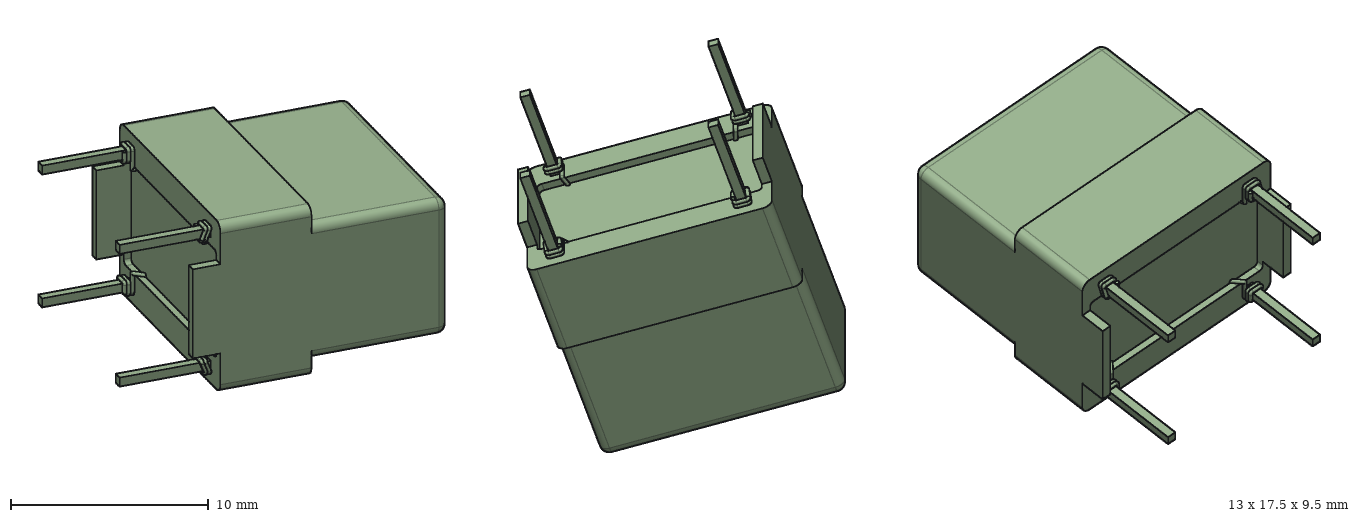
import cadquery as cq
import math

width = 13.0
total_length = 17.5
flange_height = 9.5
box_height = 7.6
pin_length = 5.0
flange_length = 5.0
edge_radius = 0.5

recess_width = 11.94
recess_height = 6.0
recess_depth = 0.4
recess_corner_radius = 0.25
tab_length = 1.5
tab_height = 5.0

pin_side = 0.5
pin_spacing_x = 10.0
pin_spacing_z = 7.45
wire_radius = 0.114
wrap_turns = 2
wrap_pitch = 0.21
pin_bite = 0.02
face_bite = 0.004
bend_inset = 0.07
wrap_slack = 0.04
upper_tail_reach = 0.2
lower_tail_reach = 0.52

back_y = total_length / 2
pin_tip_y = -total_length / 2
face_y = pin_tip_y + pin_length
floor_y = face_y + recess_depth
wire_offset = wire_radius - pin_bite


def block(size_x, size_z, y_front, y_back):
    """Box centred on the Y axis between two Y positions."""
    middle_y = (y_front + y_back) / 2
    return cq.Workplane("XY").box(size_x, y_back - y_front, size_z).translate((0, middle_y, 0))


def make_case():
    box = block(width, box_height, face_y, back_y).edges("|Y").fillet(edge_radius)
    box = box.faces(">Y").edges().fillet(edge_radius)
    flange = block(width, flange_height, face_y, face_y + flange_length)
    flange = flange.edges("|Y").fillet(edge_radius)
    recess = block(recess_width, recess_height, face_y, floor_y)
    recess = recess.edges("|Y").fillet(recess_corner_radius)
    tabs = block(width, tab_height, face_y - tab_length, floor_y)
    tabs = tabs.cut(block(recess_width, tab_height, face_y - tab_length, floor_y))
    return box.union(flange).cut(recess).union(tabs)


def straight_wire(start, end):
    start, end = cq.Vector(*start), cq.Vector(*end)
    run = end - start
    return cq.Workplane(cq.Solid.makeCylinder(wire_radius, run.Length, start, run))


def climbing_wire(start, end):
    """Oblique wire whose ends stay square to Z, so they match the bends they join."""
    start, end = cq.Vector(*start), cq.Vector(*end)
    rim = cq.Wire.makeCircle(wire_radius, start, cq.Vector(0, 0, 1))
    return cq.Workplane(cq.Solid.extrudeLinear(rim, [], end - start))


def wire_ball(center):
    return cq.Workplane("XY").sphere(wire_radius).translate(center)


def wire_elbow(corner_x, corner_z, y, start_angle):
    """Quarter bend of the wire around a corner of the pin."""
    half_chord = math.sqrt(wire_radius**2 - wire_offset**2)
    bend = (
        cq.Workplane("XY")
        .moveTo(0, -half_chord)
        .threePointArc((wire_offset + wire_radius, 0), (0, half_chord))
        .close()
        .revolve(90, (0, 0), (0, -1))
    )
    return bend.rotate((0, 0, 0), (0, -1, 0), start_angle).translate((corner_x, y, corner_z))


def make_terminal(tail_reach):
    """Pin with its wire for the +X, +Z corner; the recess lies towards -Z."""
    pin_x = pin_spacing_x / 2
    pin_z = pin_spacing_z / 2
    half_side = pin_side / 2
    terminal = block(pin_side, pin_side, pin_tip_y, floor_y).translate((pin_x, 0, pin_z))

    inner_x = pin_x - half_side - wrap_slack
    outer_x = pin_x + half_side
    low_z = pin_z - half_side
    high_z = pin_z + half_side
    inner_run_x = inner_x - wire_offset
    outer_run_x = outer_x + wire_offset
    low_run_z = low_z - wire_offset
    high_run_z = high_z + wire_offset
    first_y = face_y - (wire_radius - face_bite)

    for turn in range(wrap_turns):
        y = first_y - turn * wrap_pitch
        next_y = y - wrap_pitch
        climb_start = (outer_run_x, y, high_z)
        climb_end = (outer_run_x, next_y, low_z)
        pieces = [
            wire_elbow(inner_x, high_z, y, 90),
            straight_wire((inner_x, y, high_run_z), (outer_x, y, high_run_z)),
            wire_elbow(outer_x, high_z, y, 0),
            climbing_wire(climb_start, climb_end),
            wire_elbow(outer_x, low_z, next_y, 270),
            straight_wire((outer_x, next_y, low_run_z), (inner_x, next_y, low_run_z)),
            wire_elbow(inner_x, low_z, next_y, 180),
            straight_wire((inner_run_x, next_y, low_z), (inner_run_x, next_y, high_z)),
        ]
        for piece in pieces:
            terminal = terminal.union(piece)

    bend_point = (inner_run_x, first_y, recess_height / 2 - bend_inset)
    tail_end = (inner_run_x - tail_reach, floor_y + wire_radius, bend_point[2])
    lead = straight_wire((inner_run_x, first_y, high_z), bend_point)
    return terminal.union(lead).union(wire_ball(bend_point)).union(straight_wire(bend_point, tail_end))


upper_terminal = make_terminal(upper_tail_reach)
lower_terminal = make_terminal(lower_tail_reach).mirror("XY")

result = make_case()
for terminal in (upper_terminal, lower_terminal):
    result = result.union(terminal).union(terminal.mirror("YZ"))